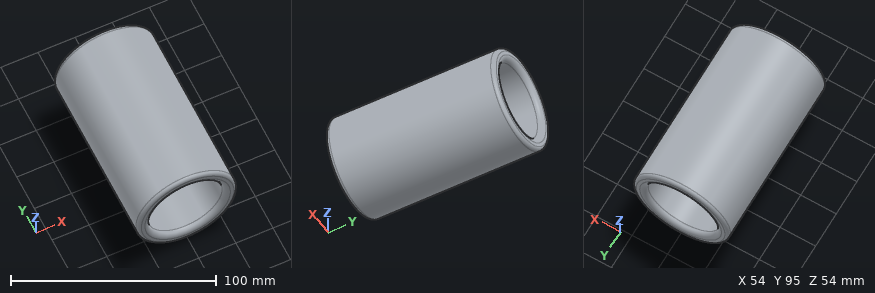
import cadquery as cq

length = 95.0
outer_diameter = 54.0
bore_diameter = 40.0
outer_edge_radius = 2.0
bore_edge_radius = 3.0


def centred_cylinder(diameter):
    """Solid cylinder along Y, spanning the full tube length."""
    end_plane = cq.Workplane("XZ", origin=(0, length / 2, 0))
    return end_plane.circle(diameter / 2).extrude(length)


outer_body = centred_cylinder(outer_diameter).edges("%CIRCLE").fillet(outer_edge_radius)

tube = outer_body.cut(centred_cylinder(bore_diameter))
bore_mouths = tube.faces("<Y or >Y").edges(cq.selectors.RadiusNthSelector(0))
result = bore_mouths.fillet(bore_edge_radius)